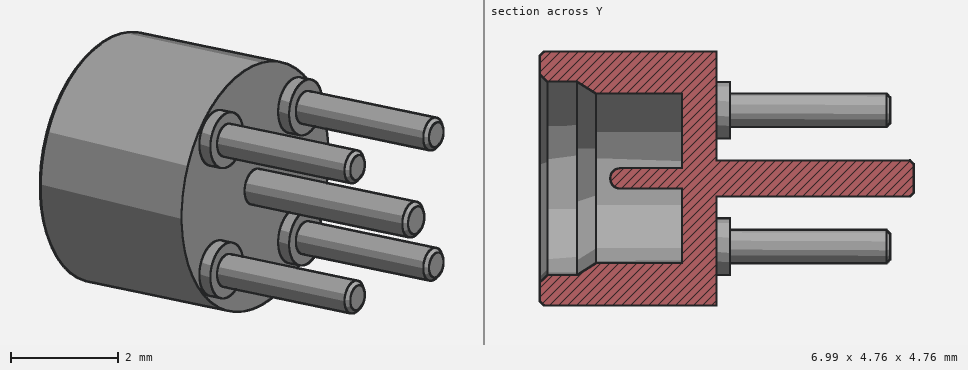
import cadquery as cq

total_length = 6.99
body_radius = 2.38
body_length = 3.305
edge_chamfer = 0.085

mouth_radius = 1.94
entry_radius = 1.8
bore_radius = 1.58
mouth_depth = 0.15
entry_depth = 0.7
taper_depth = 1.055
bore_depth = 2.655

contact_radius = 0.195
contact_tip = 1.315

center_pin_radius = 0.34
corner_pin_radius = 0.315
corner_pin_offset = 1.27
corner_pin_end = 6.55
pin_chamfer = 0.08
collar_radius = 0.53
collar_length = 0.25


def rod(start, end, radius, y=0, z=0):
    """Cylinder along X, between two X positions."""
    return cq.Workplane("YZ", origin=(start, y, z)).circle(radius).extrude(end - start)


def make_body():
    """Revolved sleeve with a closed rear wall."""
    profile = [
        (bore_depth, 0),
        (bore_depth, bore_radius),
        (taper_depth, bore_radius),
        (entry_depth, entry_radius),
        (mouth_depth, entry_radius),
        (0, mouth_radius),
        (0, body_radius - edge_chamfer),
        (edge_chamfer, body_radius),
        (body_length, body_radius),
        (body_length, 0),
    ]
    return cq.Workplane("XY").polyline(profile).close().revolve(360, (0, 0), (1, 0))


def make_contact():
    """Contact rising from the bore floor, with a hemispherical tip."""
    nose_center = contact_tip + contact_radius
    nose = cq.Workplane("XY").sphere(contact_radius).translate((nose_center, 0, 0))
    return rod(nose_center, body_length, contact_radius).union(nose)


def make_pin(end, radius, y=0, z=0):
    """Solder pin standing on the rear face, with a chamfered end."""
    return rod(body_length, end, radius, y, z).faces(">X").chamfer(pin_chamfer)


result = make_body().union(make_contact())
result = result.union(make_pin(total_length, center_pin_radius))

for y in (-corner_pin_offset, corner_pin_offset):
    for z in (-corner_pin_offset, corner_pin_offset):
        collar = rod(body_length, body_length + collar_length, collar_radius, y, z)
        pin = make_pin(corner_pin_end, corner_pin_radius, y, z)
        result = result.union(collar).union(pin)